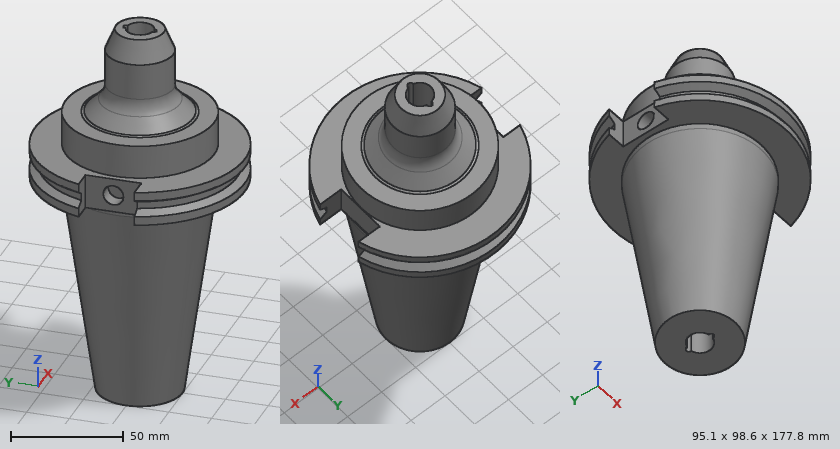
import cadquery as cq
import math

total_height = 177.8
gauge_height = 101.7
flange_bottom = 104.7
flange_width = 16.2
hub_top = 136.7
tip_cone_height = 10.3
flange_top = flange_bottom + flange_width
flange_middle = flange_bottom + flange_width / 2

gauge_radius = 34.8
taper_rate = 7 / 24
small_end_radius = gauge_radius - gauge_height * taper_rate / 2

flange_radius = 49.3
groove_floor_radius = 45.5
groove_floor_width = 3.4
groove_mouth_width = 7.8
hub_radius = gauge_radius

tip_radius = 11.2
nose_radius = 15.6
blend_radius = 10.1
blend_top = 150.6
skirt_angle = 45.0
skirt_foot_radius = 24.9
rim_radius = 26.1

slot_width = 26.1
left_slot_floor_radius = 37.7
right_slot_floor_radius = 35.0
dimple_diameter = 9.5
dimple_depth = 7.1
bore_diameter = 12.6
keyway_diameter = 2.8
keyway_offset = 6.4


def revolved_body():
    angle = math.radians(skirt_angle)
    half_angle = angle / 2
    center_radius = nose_radius + blend_radius

    def blend_point(turn):
        return (center_radius - blend_radius * math.cos(turn), blend_top - blend_radius * math.sin(turn))

    blend_end = blend_point(angle)
    skirt_foot = blend_end[1] - (skirt_foot_radius - blend_end[0]) / math.tan(angle)
    return (
        cq.Workplane("XZ")
        .lineTo(small_end_radius, 0)
        .lineTo(gauge_radius, gauge_height)
        .lineTo(gauge_radius, flange_bottom)
        .lineTo(flange_radius, flange_bottom)
        .lineTo(flange_radius, flange_middle - groove_mouth_width / 2)
        .lineTo(groove_floor_radius, flange_middle - groove_floor_width / 2)
        .lineTo(groove_floor_radius, flange_middle + groove_floor_width / 2)
        .lineTo(flange_radius, flange_middle + groove_mouth_width / 2)
        .lineTo(flange_radius, flange_top)
        .lineTo(hub_radius, flange_top)
        .lineTo(hub_radius, hub_top)
        .lineTo(rim_radius, hub_top)
        .lineTo(skirt_foot_radius, skirt_foot)
        .lineTo(*blend_end)
        .threePointArc(blend_point(half_angle), (nose_radius, blend_top))
        .lineTo(nose_radius, total_height - tip_cone_height)
        .lineTo(tip_radius, total_height)
        .lineTo(0, total_height)
        .close()
        .revolve(360, (0, 0), (0, 1))
    )


def drive_slot(side, floor_radius):
    """Slot through the flange on one X side (side is -1 or 1)."""
    length = flange_radius
    return cq.Workplane("XY").box(length, slot_width, flange_width).translate(
        (side * (floor_radius + length / 2), 0, flange_middle)
    )


def locating_dimple():
    """Blind round hole in the floor of the -X slot."""
    return (
        cq.Workplane("YZ", origin=(-left_slot_floor_radius, 0, flange_middle))
        .circle(dimple_diameter / 2)
        .extrude(dimple_depth)
    )


def keyed_bore():
    """Through bore with two opposite round-bottomed grooves."""
    bore = cq.Workplane("XY").circle(bore_diameter / 2).extrude(total_height)
    grooves = (
        cq.Workplane("XY")
        .pushPoints([(0, -keyway_offset), (0, keyway_offset)])
        .circle(keyway_diameter / 2)
        .extrude(total_height)
    )
    return bore.union(grooves)


result = (
    revolved_body()
    .cut(drive_slot(-1, left_slot_floor_radius))
    .cut(drive_slot(1, right_slot_floor_radius))
    .cut(locating_dimple())
    .cut(keyed_bore())
)